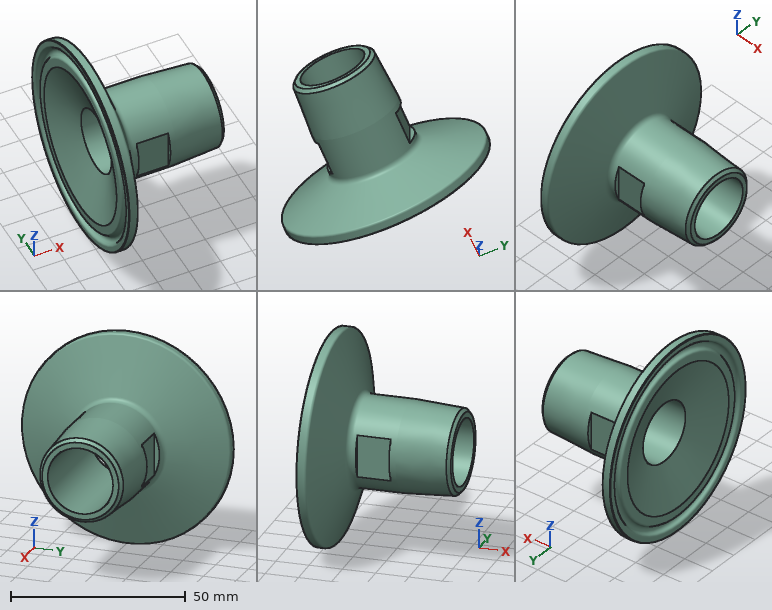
import cadquery as cq
import math

flange_radius = 32.0
face_edge_chamfer = 0.2
rim_end = 2.4
rim_round = 0.8
back_angle = math.radians(70)

neck_radius = 13.6
neck_fillet = 1.85
taper_start = 23.95
length = 40.0
end_chamfer = 1.0
taper_end_radius = 12.75

bore_radius = 10.0
mouth_radius = 23.8
mouth_depth = (mouth_radius - bore_radius) / math.tan(back_angle)

groove_radius = 28.3
groove_half_width = 2.0
groove_edge_round = 0.8
groove_floor_round = 1.2
groove_wall_angle = math.radians(70)

flat_offset = 12.0
flat_start = 12.0
flat_length = 10.05


def point_on_circle(center, radius, angle):
    return (center[0] + radius * math.cos(angle), center[1] + radius * math.sin(angle))


def revolve_about_x(profile):
    return profile.close().revolve(360, (0, 0, 0), (1, 0, 0))


def make_body():
    cone_normal = math.pi / 2 - back_angle
    rim_center = (rim_end, flange_radius - rim_round)
    rim_tangent = point_on_circle(rim_center, rim_round, cone_normal)
    rim_middle = point_on_circle(rim_center, rim_round, (cone_normal + math.pi / 2) / 2)

    fillet_center_radius = neck_radius + neck_fillet
    fillet_tangent_radius = fillet_center_radius - neck_fillet * math.sin(cone_normal)
    cone_length = (rim_tangent[1] - fillet_tangent_radius) / math.tan(back_angle)
    fillet_tangent = (rim_tangent[0] + cone_length, fillet_tangent_radius)
    fillet_center = (fillet_tangent[0] + neck_fillet * math.cos(cone_normal), fillet_center_radius)
    fillet_middle = point_on_circle(
        fillet_center, neck_fillet, math.pi + (cone_normal + math.pi / 2) / 2
    )

    profile = (
        cq.Workplane("XY")
        .moveTo(0, mouth_radius)
        .lineTo(0, flange_radius - face_edge_chamfer)
        .lineTo(face_edge_chamfer, flange_radius)
        .lineTo(rim_end, flange_radius)
        .threePointArc(rim_middle, rim_tangent)
        .lineTo(*fillet_tangent)
        .threePointArc(fillet_middle, (fillet_center[0], neck_radius))
        .lineTo(taper_start, neck_radius)
        .lineTo(length - end_chamfer, taper_end_radius)
        .lineTo(length, taper_end_radius - end_chamfer)
        .lineTo(length, bore_radius)
        .lineTo(mouth_depth, bore_radius)
    )
    return revolve_about_x(profile)


def make_groove():
    wall_sin = math.sin(groove_wall_angle)
    wall_cos = math.cos(groove_wall_angle)
    half_sin = math.sin(groove_wall_angle / 2)
    half_cos = math.cos(groove_wall_angle / 2)
    edge_depth = groove_edge_round * (1 - wall_cos)
    wall_top = groove_half_width - groove_edge_round * wall_sin
    wall_bottom = groove_floor_round * wall_sin
    floor_depth = edge_depth + (wall_top - wall_bottom) * math.tan(groove_wall_angle)
    groove_depth = floor_depth + groove_floor_round * (1 - wall_cos)

    edge_middle_depth = groove_edge_round * (1 - half_cos)
    edge_middle = groove_half_width - groove_edge_round * half_sin
    inner_edge = groove_radius - groove_half_width
    outer_edge = groove_radius + groove_half_width
    profile = (
        cq.Workplane("XY")
        .moveTo(0, inner_edge)
        .threePointArc((edge_middle_depth, groove_radius - edge_middle), (edge_depth, groove_radius - wall_top))
        .lineTo(floor_depth, groove_radius - wall_bottom)
        .threePointArc((groove_depth, groove_radius), (floor_depth, groove_radius + wall_bottom))
        .lineTo(edge_depth, groove_radius + wall_top)
        .threePointArc((edge_middle_depth, groove_radius + edge_middle), (0, outer_edge))
    )
    return revolve_about_x(profile)


def make_flat_cutter(side):
    cut_depth = neck_radius - flat_offset
    return cq.Workplane("XY").box(flat_length, cut_depth, 2 * neck_radius).translate(
        (flat_start + flat_length / 2, side * (flat_offset + cut_depth / 2), 0)
    )


result = make_body().cut(make_groove())
for side in (-1, 1):
    result = result.cut(make_flat_cutter(side))